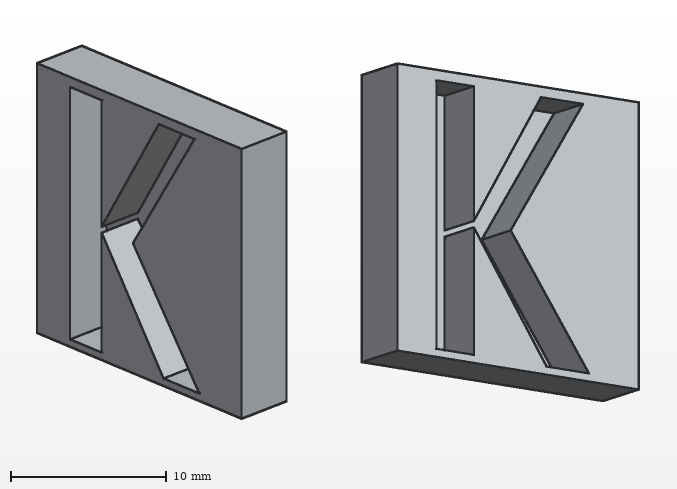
import cadquery as cq

side = 19.0
thickness = 4.0

pocket_depth = 3.25
pocket_bottom = 0.53
pocket_top = 18.3

stem_left = 3.08
stem_right = 6.0
upper_joint_z = 9.39
lower_joint_z = 8.97

arm_left = 11.3
arm_right = 14.61
leg_left = 11.75
leg_right = 15.07
crotch_x = 8.91
crotch_z = 9.15

plate = cq.Workplane("XY").box(side, thickness, side, centered=False)

pocket = (
    cq.Workplane("XZ")
    .moveTo(stem_left, pocket_bottom)
    .lineTo(stem_right, pocket_bottom)
    .lineTo(stem_right, lower_joint_z)
    .lineTo(leg_left, pocket_bottom)
    .lineTo(leg_right, pocket_bottom)
    .lineTo(crotch_x, crotch_z)
    .lineTo(arm_right, pocket_top)
    .lineTo(arm_left, pocket_top)
    .lineTo(stem_right, upper_joint_z)
    .lineTo(stem_right, pocket_top)
    .lineTo(stem_left, pocket_top)
    .close()
    .extrude(-pocket_depth)
)

result = plate.cut(pocket)